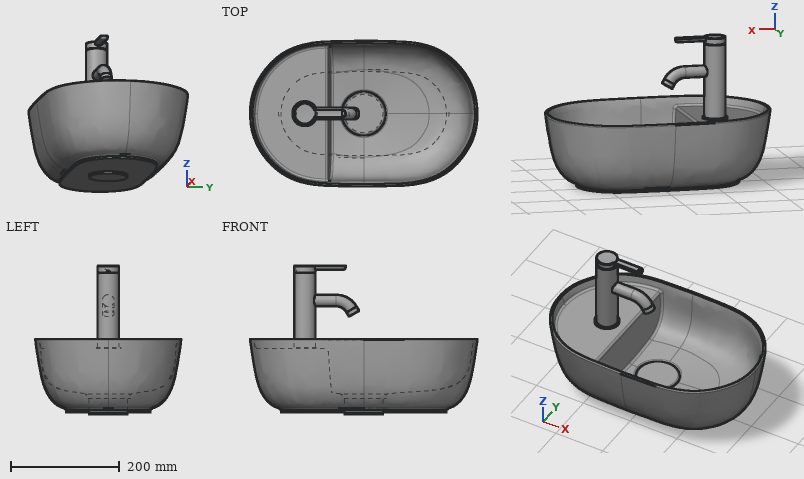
import cadquery as cq
import math

BASIN_LENGTH = 419.0
BASIN_WIDTH = 269.0
RIM_Z = 139.5
TOP_Z = 274.0

RIM_END_RADIUS = 132.0
RIM_HEIGHT = 2.5
RIM_ROUND = 2.0
FOOT_Z = 4.0
FOOT_INSET = 57.0
FOOT_HEIGHT = 4.0
UNDERSIDE_Z = 11.7
UNDERSIDE_INSET = 53.0
OUTER_LEVELS = [
    (UNDERSIDE_INSET, UNDERSIDE_Z),
    (35.0, 22.0),
    (20.5, 42.0),
    (8.0, 86.0),
    (3.0, 115.3),
    (0.0, RIM_Z - RIM_HEIGHT),
]

CAVITY_LEVELS = [
    (120.5, 80.5, 73.5, 44.0),
    (159.3, 99.8, 92.2, 51.0),
    (178.5, 112.5, 106.0, 62.0),
    (194.5, 122.5, 120.0, 88.0),
    (205.0, 130.0, 127.5, RIM_Z),
]

DRAIN_HOLE_DIAMETER = 81.5
DRAIN_LIP = 3.8
EDGE_MARGIN = 0.5
DRAIN_Z = 38.0
DRAIN_HEAD_HEIGHT = 8.5
DRAIN_HEAD_ROUND = 3.5
DRAIN_BODY_DIAMETER = 70.5

DECK_Z = 121.5
DECK_EDGE_X = -66.0
DECK_EDGE_ROUND = 4.5
DECK_JOINT_ROUND = 4.5
DECK_WALL_FOOT_X = -59.5

TAP_X = -108.5
COLUMN_DIAMETER = 40.0
BASE_RING_DIAMETER = 46.0
BASE_RING_HEIGHT = 2.0
BASE_RING_CHAMFER = 1.0
COLLAR_DIAMETER = 37.0
COLLAR_HEIGHT = 1.3

CAP_HEIGHT = 12.0
CAP_CHAMFER = 1.3
HOLLOW_DEPTH = 1.0
LEVER_TIP_X = -33.0
LEVER_WIDTH = 14.3
LEVER_THICKNESS = 7.5
LEVER_TOP_CHAMFER = 1.0
LEVER_BOTTOM_ROUND = 5.0
LEVER_ROOT_ROUND = 2.5
SCREW_HOLE_DIAMETER = 6.0
SCREW_HOLE_DEPTH = 4.0

SPOUT_DIAMETER = 22.0
SPOUT_Z = 210.0
SPOUT_BEND_X = -50.7
SPOUT_BEND_RADIUS = 32.5
SPOUT_BEND_ANGLE = 60.0
AERATOR_LENGTH = 9.2

DRAIN_SEAT_Z = DRAIN_Z - DRAIN_HEAD_HEIGHT
COLUMN_BASE_Z = DECK_Z + BASE_RING_HEIGHT
CAP_Z = TOP_Z - CAP_HEIGHT
CAP_FRONT_X = TAP_X + COLUMN_DIAMETER / 2
COLUMN_TOP_Z = CAP_Z - COLLAR_HEIGHT


def cylinder(x, z, diameter, height):
    """Upright cylinder on the plane Y = 0, standing at height z."""
    return cq.Workplane("XY", origin=(x, 0, z)).circle(diameter / 2).extrude(height)


def oval_wire(half_length, half_width, end_radius, z):
    """Long oval in four quarters, each an end arc that eases into a nearly straight side arc."""
    end_x = half_length - end_radius
    side_drop = half_width - end_radius
    side_radius = (end_x**2 + half_width**2 - end_radius**2) / (2 * side_drop)
    side_centre_y = half_width - side_radius
    joint_angle = math.atan2(-side_centre_y, end_x)
    side_angle = (joint_angle + math.pi / 2) / 2

    quarter = []
    for share in (0, 1 / 3, 2 / 3, 1):
        angle = joint_angle * share
        quarter.append((end_x + end_radius * math.cos(angle), end_radius * math.sin(angle)))
    quarter.append((side_radius * math.cos(side_angle), side_centre_y + side_radius * math.sin(side_angle)))
    quarter.append((0, half_width))

    edges = []
    for sx, sy in [(1, 1), (-1, 1), (-1, -1), (1, -1)]:
        points = [cq.Vector(sx * x, sy * y, z) for x, y in quarter]
        tangents = [cq.Vector(0, sy, 0), cq.Vector(-sx, 0, 0)]
        if sx * sy < 0:
            points.reverse()
            tangents = [-tangent for tangent in reversed(tangents)]
        edges.append(cq.Edge.makeSpline(points, tangents))
    return cq.Wire.assembleEdges(edges)


def circle_wire(radius, z):
    """Circle in four quarters, to match the quarters of an oval."""
    edges = []
    for start in (0, 90, 180, 270):
        angles = [math.radians(start + turn) for turn in (0, 45, 90)]
        points = [cq.Vector(radius * math.cos(a), radius * math.sin(a), z) for a in angles]
        edges.append(cq.Edge.makeThreePointArc(*points))
    return cq.Wire.assembleEdges(edges)


def rim_inset_wire(inset, z):
    """Rim outline moved inwards by the inset."""
    return oval_wire(BASIN_LENGTH / 2 - inset, BASIN_WIDTH / 2 - inset, RIM_END_RADIUS - inset, z)


def straight_loft(lower_wire, upper_wire):
    """Solid with straight sides between two outlines."""
    return cq.Workplane(cq.Solid.makeLoft([lower_wire, upper_wire], True))


def basin_shell():
    """Solid outside shape of the basin on its foot."""
    wall = cq.Solid.makeLoft([rim_inset_wire(inset, z) for inset, z in OUTER_LEVELS])
    rim = straight_loft(rim_inset_wire(0, RIM_Z - RIM_HEIGHT), rim_inset_wire(0, RIM_Z))
    rim = rim.faces(">Z").edges().fillet(RIM_ROUND)

    foot_top = rim_inset_wire(FOOT_INSET, FOOT_Z + FOOT_HEIGHT)
    foot = straight_loft(rim_inset_wire(FOOT_INSET, FOOT_Z), foot_top)
    neck = straight_loft(foot_top, rim_inset_wire(UNDERSIDE_INSET, UNDERSIDE_Z))
    return rim.union(cq.Workplane(wall)).union(neck).union(foot)


def deck_block():
    """Raised block under the tap, with a rounded front edge and a leaning front wall."""
    block = (
        cq.Workplane("XZ", origin=(0, BASIN_WIDTH / 2, 0))
        .moveTo(-BASIN_LENGTH / 2, FOOT_Z)
        .lineTo(DECK_WALL_FOOT_X, FOOT_Z)
        .lineTo(DECK_WALL_FOOT_X, DRAIN_Z)
        .lineTo(DECK_EDGE_X, DECK_Z)
        .lineTo(-BASIN_LENGTH / 2, DECK_Z)
        .close()
        .extrude(BASIN_WIDTH)
    )
    return block.edges("|Y").edges(">Z").edges(">X").fillet(DECK_EDGE_ROUND)


def basin_cavity():
    """Bowl with a floor that falls to the drain, less the deck."""
    bowl = cq.Solid.makeLoft([oval_wire(*level) for level in CAVITY_LEVELS])
    floor = straight_loft(circle_wire(DRAIN_HOLE_DIAMETER / 2, DRAIN_Z), oval_wire(*CAVITY_LEVELS[0]))
    cavity = cq.Workplane(bowl).union(floor).cut(deck_block())

    top_curves = cavity.faces(cq.selectors.NearestToPointSelector((TAP_X, 0, DECK_Z))).edges("%BSPLINE")
    edge_curves = cavity.faces("%CYLINDER").edges("%BSPLINE")
    wall_middle = ((DECK_EDGE_X + DECK_WALL_FOOT_X) / 2, 0, (DECK_Z + DRAIN_Z) / 2)
    wall_curves = cavity.faces(cq.selectors.NearestToPointSelector(wall_middle)).edges("%BSPLINE")
    return top_curves.add(edge_curves).add(wall_curves).fillet(DECK_JOINT_ROUND)


def drain_recess():
    """Stepped hole through the basin that fits the drain."""
    seat = cylinder(0, DRAIN_SEAT_Z, DRAIN_HOLE_DIAMETER, RIM_Z)
    return seat.union(cylinder(0, 0, DRAIN_BODY_DIAMETER, RIM_Z))


def make_basin():
    """Basin with its bowl, deck and drain hole, whose upper edge is rounded."""
    basin = basin_shell().cut(basin_cavity()).cut(drain_recess())
    reach = DRAIN_HOLE_DIAMETER / 2 + EDGE_MARGIN
    drain_edge = cq.selectors.BoxSelector(
        (-reach, -reach, DRAIN_Z - EDGE_MARGIN), (reach, reach, DRAIN_Z + EDGE_MARGIN), boundingbox=True
    )
    return basin.edges(drain_edge).fillet(DRAIN_LIP)


def make_drain():
    """Waste with a wide rounded head that fills the seat and a body that passes through the basin."""
    head = cylinder(0, DRAIN_SEAT_Z, DRAIN_HOLE_DIAMETER, DRAIN_HEAD_HEIGHT)
    head = head.faces(">Z").edges().fillet(DRAIN_HEAD_ROUND)
    return head.union(cylinder(0, 0, DRAIN_BODY_DIAMETER, DRAIN_SEAT_Z))


def make_base_ring():
    """Bevelled disc between the deck and the column."""
    ring = cylinder(TAP_X, DECK_Z, BASE_RING_DIAMETER, BASE_RING_HEIGHT)
    return ring.faces(">Z").edges().chamfer(BASE_RING_CHAMFER)


def make_column():
    """Plain upright column of the tap."""
    return cylinder(TAP_X, COLUMN_BASE_Z, COLUMN_DIAMETER, COLUMN_TOP_Z - COLUMN_BASE_Z)


def make_collar():
    """Narrow disc that sets the handle off from the column."""
    return cylinder(TAP_X, COLUMN_TOP_Z, COLLAR_DIAMETER, COLLAR_HEIGHT)


def lever_blade():
    """Flat lever with a half-round tip, rounded below and bevelled above."""
    half_width = LEVER_WIDTH / 2
    tip_centre_x = LEVER_TIP_X - half_width
    lever = (
        cq.Workplane("XY", origin=(0, 0, TOP_Z - LEVER_THICKNESS))
        .moveTo(TAP_X, -half_width)
        .lineTo(tip_centre_x, -half_width)
        .threePointArc((LEVER_TIP_X, 0), (tip_centre_x, half_width))
        .lineTo(TAP_X, half_width)
        .close()
        .extrude(LEVER_THICKNESS)
    )
    lever = lever.faces("<Z").edges("not <X").fillet(LEVER_BOTTOM_ROUND)
    return lever.faces(">Z").edges("not <X").chamfer(LEVER_TOP_CHAMFER)


def cap_dish():
    """Shallow cone that hollows the top of the cap."""
    radius = COLUMN_DIAMETER / 2 - CAP_CHAMFER
    return (
        cq.Workplane("XZ", origin=(TAP_X, 0, TOP_Z))
        .moveTo(0, 0)
        .lineTo(0, -HOLLOW_DEPTH)
        .lineTo(radius, 0)
        .close()
        .revolve(360, (0, 0), (0, 1))
    )


def lever_root():
    """Hollow-faced rib that joins the flat underside of the lever to the side of the cap."""
    lever_bottom = TOP_Z - LEVER_THICKNESS
    half_width = LEVER_WIDTH / 2 - LEVER_BOTTOM_ROUND
    lower_z = lever_bottom - LEVER_ROOT_ROUND
    front_x = CAP_FRONT_X + LEVER_ROOT_ROUND
    arc_offset = LEVER_ROOT_ROUND * (1 - math.sqrt(0.5))
    return (
        cq.Workplane("XZ", origin=(0, half_width, 0))
        .moveTo(TAP_X, lower_z)
        .lineTo(CAP_FRONT_X, lower_z)
        .threePointArc((CAP_FRONT_X + arc_offset, lever_bottom - arc_offset), (front_x, lever_bottom))
        .lineTo(TAP_X, lever_bottom)
        .close()
        .extrude(2 * half_width)
    )


def lever_channel():
    """Shallow channel along the top of the lever."""
    half_width = LEVER_WIDTH / 2 - LEVER_TOP_CHAMFER
    return (
        cq.Workplane("YZ", origin=(CAP_FRONT_X, 0, TOP_Z))
        .moveTo(-half_width, 0)
        .threePointArc((0, -HOLLOW_DEPTH), (half_width, 0))
        .close()
        .extrude(LEVER_TIP_X - LEVER_WIDTH / 2 - CAP_FRONT_X)
    )


def make_handle():
    """Cap and lever in one piece, with a screw hole in the back of the cap."""
    cap = cylinder(TAP_X, CAP_Z, COLUMN_DIAMETER, CAP_HEIGHT)
    cap = cap.faces(">Z").edges().chamfer(CAP_CHAMFER)
    screw_hole = (
        cq.Workplane("YZ", origin=(TAP_X - COLUMN_DIAMETER / 2, 0, CAP_Z))
        .circle(SCREW_HOLE_DIAMETER / 2)
        .extrude(SCREW_HOLE_DEPTH)
    )
    handle = cap.union(lever_blade()).union(lever_root())
    return handle.cut(screw_hole).cut(cap_dish()).cut(lever_channel())


def make_spout(column):
    """Straight pipe from the column, then a downward bend."""
    straight = (
        cq.Workplane("YZ", origin=(TAP_X, 0, SPOUT_Z))
        .circle(SPOUT_DIAMETER / 2)
        .extrude(SPOUT_BEND_X - TAP_X)
    )
    bend_axis = [(y, -SPOUT_BEND_RADIUS) for y in (-SPOUT_DIAMETER, SPOUT_DIAMETER)]
    bend = (
        cq.Workplane("YZ", origin=(SPOUT_BEND_X, 0, SPOUT_Z))
        .circle(SPOUT_DIAMETER / 2)
        .revolve(SPOUT_BEND_ANGLE, *bend_axis)
    )
    return straight.union(bend).cut(column)


def make_aerator():
    """Short pipe that ends the spout, square to the end of the bend."""
    angle = math.radians(SPOUT_BEND_ANGLE)
    end_x = SPOUT_BEND_X + SPOUT_BEND_RADIUS * math.sin(angle)
    end_z = SPOUT_Z - SPOUT_BEND_RADIUS * (1 - math.cos(angle))
    outlet = cq.Plane((end_x, 0, end_z), (0, 1, 0), (math.cos(angle), 0, -math.sin(angle)))
    return cq.Workplane(outlet).circle(SPOUT_DIAMETER / 2).extrude(AERATOR_LENGTH)


basin = make_basin()
drain = make_drain()
base_ring = make_base_ring()
column = make_column()
collar = make_collar()
handle = make_handle()
spout = make_spout(column)
aerator = make_aerator()

bodies = [basin, drain, base_ring, column, collar, handle, spout, aerator]
result = cq.Compound.makeCompound([body.val() for body in bodies])